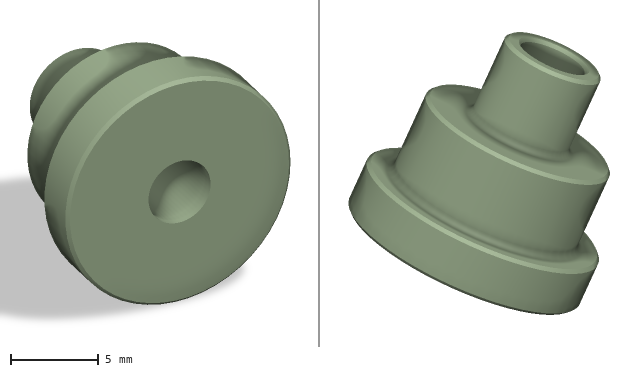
import cadquery as cq

nose_diameter = 6.0
nose_length = 5.0
body_diameter = 11.5
body_length = 5.0
flange_diameter = 14.5
flange_length = 3.0
bore_diameter = 4.0
edge_chamfer = 0.2
corner_fillet = 0.4

body_start = nose_length
flange_start = body_start + body_length
total_length = flange_start + flange_length
nose_radius = nose_diameter / 2
body_radius = body_diameter / 2
flange_radius = flange_diameter / 2
bore_radius = bore_diameter / 2


def add_chamfered_rim(profile, x, radius):
    """Climb a -X facing shoulder at x and turn over its chamfered rim."""
    return (
        profile
        .lineTo(x, radius - edge_chamfer)
        .lineTo(x + edge_chamfer, radius)
    )


def add_root_fillet(profile, shoulder_x, radius):
    """Run along a cylinder and blend it into the shoulder behind it."""
    return (
        profile
        .lineTo(shoulder_x - corner_fillet, radius)
        .radiusArc((shoulder_x, radius + corner_fillet), -corner_fillet)
    )


def make_half_profile():
    """Half section in the XY plane, from the bore mouth out to the flange."""
    profile = cq.Workplane("XY").moveTo(0, bore_radius + edge_chamfer)

    profile = add_chamfered_rim(profile, 0, nose_radius)
    profile = add_root_fillet(profile, body_start, nose_radius)

    profile = add_chamfered_rim(profile, body_start, body_radius)
    profile = add_root_fillet(profile, flange_start, body_radius)

    profile = add_chamfered_rim(profile, flange_start, flange_radius)
    profile = (
        profile
        .lineTo(total_length - edge_chamfer, flange_radius)
        .lineTo(total_length, flange_radius - edge_chamfer)
    )

    return (
        profile
        .lineTo(total_length, bore_radius)
        .lineTo(edge_chamfer, bore_radius)
        .close()
    )


result = make_half_profile().revolve(360, (0, 0, 0), (1, 0, 0))